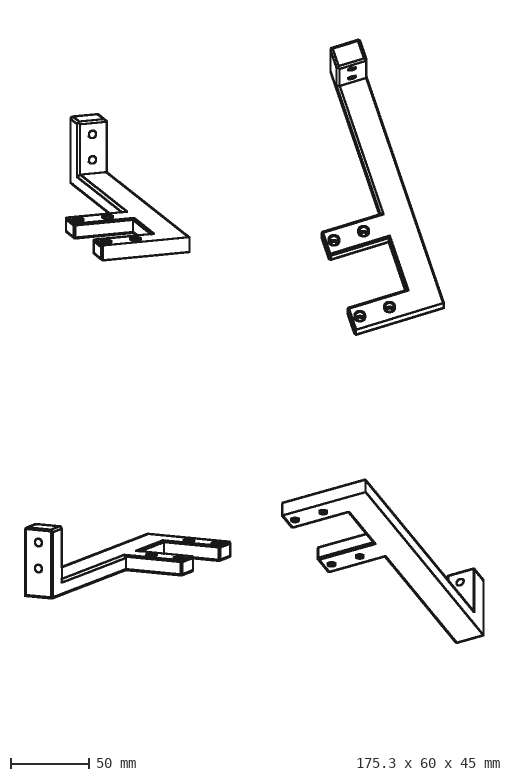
import cadquery as cq
length = 175.34
depth = 60.0
height = 45.0
arm_width = 20.0
arm_thickness = 10.0
upright_thickness = 15.0
left_prong_width = 17.0
right_prong_width = 16.0
prong_spacing = 54.0

edge_chamfer = 1.0
upright_top_chamfer = 1.5
inner_front_chamfer = 1.7
inner_back_chamfer = 0.5

prong_hole_diameter = 5.0
prong_hole_upper_diameter = 6.1
prong_hole_upper_depth = 8.0
prong_hole_rim_chamfer = 0.5
prong_hole_from_side = 8.0
prong_hole_from_tip = 6.0
prong_hole_pitch = 20.0
prong_hole_count = 2

upright_hole_diameter = 5.0
upright_hole_heights = (19.0, 36.0)

arm_front = depth - arm_width
arm_middle = depth - arm_width / 2
right_prong_left = length - right_prong_width
left_prong_left = right_prong_left - prong_spacing
section_joint = left_prong_left + left_prong_width / 2


def chamfered_block(x_range, y_range, z_top, chamfers):
    """Box standing on Z = 0; each chamfer is an (edge selector, size) pair."""
    size_x = x_range[1] - x_range[0]
    size_y = y_range[1] - y_range[0]
    block = cq.Workplane("XY").box(size_x, size_y, z_top, centered=False)
    for edge, size in chamfers:
        block = block.edges(edge).chamfer(size)
    return block.translate((x_range[0], y_range[0], 0))


def upright():
    chamfers = [
        ("<X and <Y", edge_chamfer),
        ("<X and >Y", edge_chamfer),
        ("<X and <Z", edge_chamfer),
        ("<Y and <Z", edge_chamfer),
        (">X and <Y", inner_front_chamfer),
        (">X and >Y", inner_back_chamfer),
        ("<X and >Z", edge_chamfer),
        (">X and >Z", upright_top_chamfer),
        ("<Y and >Z", upright_top_chamfer),
        (">Y and >Z", upright_top_chamfer),
    ]
    return chamfered_block((0, upright_thickness), (arm_front, depth), height, chamfers)


def arm_section(x_start, x_end, top_front_chamfer):
    chamfers = [
        ("<Y and <Z", edge_chamfer),
        ("<Y and >Z", top_front_chamfer),
        (">Y and >Z", inner_back_chamfer),
    ]
    return chamfered_block((x_start, x_end), (arm_front, depth), arm_thickness, chamfers)


def prong(left, width, open_sides):
    """Prong reaching into the arm; the long edges are chamfered on its open sides only."""
    chamfers = [("<X and <Y", edge_chamfer), (">X and <Y", edge_chamfer)]
    for side in ("<Y", *open_sides):
        chamfers.append((f"{side} and >Z", edge_chamfer))
        chamfers.append((f"{side} and <Z", edge_chamfer))
    return chamfered_block((left, left + width), (0, arm_middle), arm_thickness, chamfers)


def prong_hole(x, y):
    """Bore with a wider upper part that opens through a chamfered rim."""
    bore = cq.Workplane("XY").circle(prong_hole_diameter / 2).extrude(arm_thickness)
    upper_bore = (
        cq.Workplane("XY", origin=(0, 0, arm_thickness))
        .circle(prong_hole_upper_diameter / 2)
        .extrude(-prong_hole_upper_depth)
    )
    rim = (
        cq.Workplane("XY", origin=(0, 0, arm_thickness))
        .circle(prong_hole_upper_diameter / 2 + prong_hole_rim_chamfer)
        .workplane(offset=-prong_hole_rim_chamfer)
        .circle(prong_hole_upper_diameter / 2)
        .loft()
    )
    return bore.union(upper_bore).union(rim).translate((x, y, 0))


def upright_hole(z):
    return (
        cq.Workplane("YZ")
        .center(arm_middle, z)
        .circle(upright_hole_diameter / 2)
        .extrude(upright_thickness)
    )


result = upright()
result = result.union(arm_section(upright_thickness / 2, section_joint, inner_front_chamfer))
result = result.union(arm_section(section_joint, length, edge_chamfer))
result = result.union(prong(left_prong_left, left_prong_width, ("<X", ">X")))
result = result.union(prong(right_prong_left, right_prong_width, ("<X",)))
result = result.clean()

for prong_left in (left_prong_left, right_prong_left):
    hole_x = prong_left + prong_hole_from_side
    for i in range(prong_hole_count):
        result = result.cut(prong_hole(hole_x, prong_hole_from_tip + i * prong_hole_pitch))

for hole_height in upright_hole_heights:
    result = result.cut(upright_hole(hole_height))